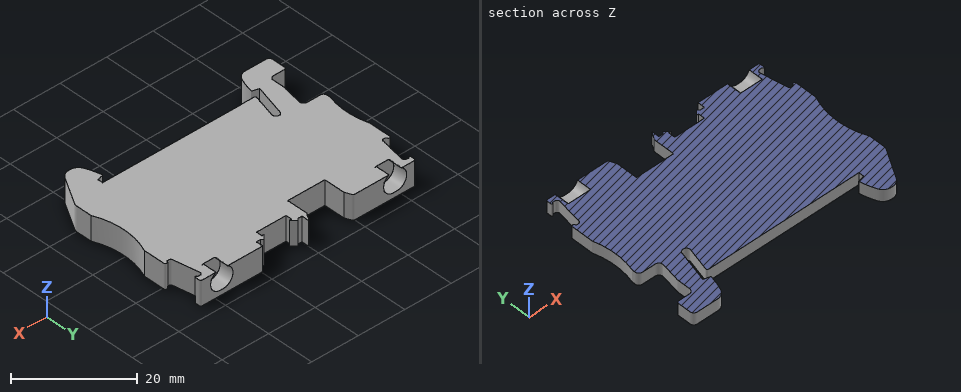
import cadquery as cq
import math

LENGTH = 48.6
HEIGHT = 35.25
THICKNESS = 5.15

LIP_INSET = 1.15
LIP_TIP_Y = 33.85
LIP_UNDERSIDE_Y = 34.1
LIP_BEAD = 0.4
LIP_BEAD_RADIUS = 0.15
LIP_ROOT_RADIUS = 0.1
LIP_TOP_RADIUS = 0.4
SHOULDER_Y = 28.25
SHOULDER_BEAD = 0.6
SHOULDER_RADIUS = 0.3
SHOULDER_SLOPE_RUN = 0.2
SHOULDER_GROOVE_RADIUS = 0.2
SHOULDER_GROOVE_Y = 27.8
NECK_BOTTOM_INSET = 1.58
NECK_BOTTOM_RADIUS = 0.4
NECK_TOP_INSET = 2.68
NECK_TOP_RADIUS = 0.5

POCKET_LEFT = 15.24
POCKET_RIGHT = 23.2
POCKET_FLOOR_Y = 29.3
POCKET_BEVEL_Y = 33.7
LEFT_BEVEL_RUN = 0.65
RIGHT_BEVEL_RUN = 0.92
POCKET_EDGE_RADIUS = 0.5
HORN_RADIUS = 0.1

SEAT_CENTER_X = 29.2
SEAT_OPENING_HALF = 4.9
SEAT_LEDGE_Y = 33.78
CATCH_PEAK_HALF = 3.65
CATCH_PEAK_Y = 34.2
CATCH_PEAK_RADIUS = 0.1
CATCH_BACK_RUN = 0.4
CATCH_TIP_HALF = 2.7
CATCH_TIP_Y = 33.2
SEAT_FLOOR_HALF = 3.17
SEAT_FLOOR_Y = 31.95

RAIL_FACE_Y = 5.98
RAIL_ANGLE = math.radians(15)
LATCH_TIP_X = 8.1
LATCH_BACK_X = 6.7
FIXED_TIP_X = 40.05
FIXED_BACK_X = 41.47
FOOT_TIP_Y = 4.58
FOOT_TIP_RADIUS = 0.1
FOOT_BEND_INSET = 0.42
FOOT_BEND_Y = 2.64
FOOT_BEND_RADIUS = 14.0
FOOT_TOE_INSET = 1.5
FOOT_TOE_RADIUS = 2.05
FLANK_TOP_Y = 7.35
FLANK_TOP_RADIUS = 2.0
FLANK_ANGLE = math.radians(60)

SLOT_WIDTH = 1.48
SLOT_LENGTH = 7.6
SLOT_MOUTH_RADIUS = 0.3
LEVER_TOP_Y = 3.98
LEVER_TOP_RADIUS = 0.5
LEVER_BOTTOM_RADIUS = 0.8
ARM_X = 3.63
ARM_BEND_Y = 7.5
ARM_BEND_RADIUS = 1.5
ARM_TOP_X = 4.6
ARM_FILLET = 0.85
BODY_BOTTOM_Y = 12.62
BODY_CORNER_RADIUS = 0.8

LEFT_SCALLOP = (14.1, 23.3, 0.68)
RIGHT_SCALLOP = (11.0, 23.4, 1.32)

CHANNELS = ((4.3, 2.65), (41.65, 2.5))
CHANNEL_LENGTH = 3.0
CHANNEL_RADIUS = 2.15
CHANNEL_LIP = 1.0

SHORTEST_LINE = 1e-6


def rounded_outline(corners):
    """Closed wire through (x, y, radius) corners, each rounded by a tangent arc."""
    wire = None
    end = None
    for i, (x, y, radius) in enumerate(corners):
        here = cq.Vector(x, y)
        to_previous = (cq.Vector(*corners[i - 1][:2]) - here).normalized()
        to_next = (cq.Vector(*corners[(i + 1) % len(corners)][:2]) - here).normalized()
        half_angle = to_previous.getAngle(to_next) / 2
        setback = radius / math.tan(half_angle)
        start = here + to_previous * setback
        if wire is None:
            wire = cq.Workplane("XY").moveTo(start.x, start.y)
        elif (start - end).Length > SHORTEST_LINE:
            wire = wire.lineTo(start.x, start.y)
        end = here + to_next * setback
        if radius > 0:
            bisector = (to_previous + to_next).normalized()
            middle = here + bisector * (radius / math.sin(half_angle) - radius)
            wire = wire.threePointArc((middle.x, middle.y), (end.x, end.y))
    return wire.close()


def mirrored(corners, axis_x):
    """The corners reflected about x = axis_x, in reverse order to keep the travel direction."""
    return [(2 * axis_x - x, y, radius) for x, y, radius in reversed(corners)]


def left_end_hook():
    """From the side face up around the shoulder bead, the neck and the lip."""
    return [
        (0, SHOULDER_Y, SHOULDER_RADIUS),
        (SHOULDER_BEAD, SHOULDER_Y, SHOULDER_RADIUS / 2),
        (SHOULDER_BEAD + SHOULDER_SLOPE_RUN, SHOULDER_GROOVE_Y, SHOULDER_GROOVE_RADIUS),
        (NECK_BOTTOM_INSET, SHOULDER_GROOVE_Y, NECK_BOTTOM_RADIUS),
        (NECK_TOP_INSET, LIP_UNDERSIDE_Y, NECK_TOP_RADIUS),
        (LIP_INSET + LIP_BEAD, LIP_UNDERSIDE_Y, LIP_ROOT_RADIUS),
        (LIP_INSET + LIP_BEAD, LIP_TIP_Y, LIP_BEAD_RADIUS),
        (LIP_INSET, LIP_TIP_Y, LIP_BEAD_RADIUS),
        (LIP_INSET, HEIGHT, LIP_TOP_RADIUS),
    ]


def pocket():
    """Upper pocket with bevelled mouth, from left to right, ending at the horn's tip."""
    return [
        (POCKET_LEFT - LEFT_BEVEL_RUN, HEIGHT, POCKET_EDGE_RADIUS),
        (POCKET_LEFT, POCKET_BEVEL_Y, 0),
        (POCKET_LEFT, POCKET_FLOOR_Y, 0),
        (POCKET_RIGHT, POCKET_FLOOR_Y, 0),
        (POCKET_RIGHT, POCKET_BEVEL_Y, 0),
        (POCKET_RIGHT + RIGHT_BEVEL_RUN, HEIGHT, HORN_RADIUS),
    ]


def marker_seat():
    """Left half of the seat from its opening down to the floor, then its mirror image."""
    left_half = [
        (SEAT_CENTER_X - SEAT_OPENING_HALF, HEIGHT, 0),
        (SEAT_CENTER_X - SEAT_OPENING_HALF, SEAT_LEDGE_Y, 0),
        (SEAT_CENTER_X - CATCH_PEAK_HALF - CATCH_BACK_RUN, SEAT_LEDGE_Y, 0),
        (SEAT_CENTER_X - CATCH_PEAK_HALF, CATCH_PEAK_Y, CATCH_PEAK_RADIUS),
        (SEAT_CENTER_X - CATCH_TIP_HALF, CATCH_TIP_Y, 0),
        (SEAT_CENTER_X - SEAT_FLOOR_HALF, CATCH_TIP_Y, 0),
        (SEAT_CENTER_X - SEAT_FLOOR_HALF, SEAT_FLOOR_Y, 0),
    ]
    return left_half + mirrored(left_half, SEAT_CENTER_X)


def foot_hook(tip_x, back_x):
    """Rail hook from its root at back_x, over the pointed tip, round to the toe."""
    inward = math.copysign(1, back_x - tip_x)
    root_y = FOOT_TIP_Y + abs(back_x - tip_x) * math.tan(RAIL_ANGLE)
    return [
        (back_x, root_y, 0),
        (tip_x, FOOT_TIP_Y, FOOT_TIP_RADIUS),
        (tip_x + inward * FOOT_BEND_INSET, FOOT_BEND_Y, FOOT_BEND_RADIUS),
        (tip_x + inward * FOOT_TOE_INSET, 0, FOOT_TOE_RADIUS),
    ]


def fixed_foot():
    """Right foot, from the sloping flank round to the rail face."""
    flank_bottom_x = LENGTH - FLANK_TOP_Y / math.tan(FLANK_ANGLE)
    return [
        (LENGTH, FLANK_TOP_Y, FLANK_TOP_RADIUS),
        (flank_bottom_x, 0, FOOT_TOE_RADIUS),
        *reversed(foot_hook(FIXED_TIP_X, FIXED_BACK_X)),
        (FIXED_BACK_X, RAIL_FACE_Y, 0),
    ]


def release_slot():
    """Sloping round-ended slot from the rail face up its blind end and down to the latch root."""
    root_y = FOOT_TIP_Y + (LATCH_TIP_X - LATCH_BACK_X) * math.tan(RAIL_ANGLE)
    left_top_x = LATCH_BACK_X + SLOT_LENGTH * math.sin(RAIL_ANGLE)
    left_top_y = root_y + SLOT_LENGTH * math.cos(RAIL_ANGLE)
    right_top_x = left_top_x + SLOT_WIDTH * math.cos(RAIL_ANGLE)
    right_top_y = left_top_y - SLOT_WIDTH * math.sin(RAIL_ANGLE)
    mouth_x = right_top_x - (right_top_y - RAIL_FACE_Y) * math.tan(RAIL_ANGLE)
    return [
        (mouth_x, RAIL_FACE_Y, SLOT_MOUTH_RADIUS),
        (right_top_x, right_top_y, SLOT_WIDTH / 2),
        (left_top_x, left_top_y, SLOT_WIDTH / 2),
    ]


def lever_and_arm():
    """Left side of the latch: lever block, bent arm and the lower left corner of the body."""
    return [
        (0, 0, LEVER_BOTTOM_RADIUS),
        (0, LEVER_TOP_Y, LEVER_TOP_RADIUS),
        (ARM_X, LEVER_TOP_Y, ARM_FILLET),
        (ARM_X, ARM_BEND_Y, ARM_BEND_RADIUS),
        (ARM_TOP_X, BODY_BOTTOM_Y, ARM_FILLET),
        (0, BODY_BOTTOM_Y, BODY_CORNER_RADIUS),
    ]


def housing():
    """The full outline, clockwise from the left shoulder, extruded to the part's thickness."""
    left_hook = left_end_hook()
    corners = [
        *left_hook,
        *pocket(),
        *marker_seat(),
        *mirrored(left_hook, LENGTH / 2),
        *fixed_foot(),
        *release_slot(),
        *foot_hook(LATCH_TIP_X, LATCH_BACK_X),
        *lever_and_arm(),
    ]
    return rounded_outline(corners).extrude(THICKNESS)


def scallop(face_x, low_y, high_y, depth):
    """Cylinder that cuts an arc of the given depth into the end at face_x."""
    half_chord = (high_y - low_y) / 2
    radius = (half_chord**2 + depth**2) / (2 * depth)
    outward = math.copysign(1, face_x - LENGTH / 2)
    center_x = face_x + outward * (radius - depth)
    return cq.Workplane("XY").center(center_x, low_y + half_chord).circle(radius).extrude(THICKNESS)


def channel(opening_left_x, opening_width):
    """Channel along Y with a flat floor between two arcs that pass their widest and close in at the top."""
    center_height = math.sqrt(CHANNEL_RADIUS**2 - CHANNEL_LIP**2)
    center_z = THICKNESS - center_height
    floor_z = center_z - CHANNEL_RADIUS
    opening_right_x = opening_left_x + opening_width
    floor_left_x = opening_left_x + CHANNEL_LIP
    floor_right_x = opening_right_x - CHANNEL_LIP
    return (
        cq.Workplane("XZ", origin=(0, HEIGHT, 0))
        .moveTo(opening_left_x, THICKNESS)
        .threePointArc((floor_left_x - CHANNEL_RADIUS, center_z), (floor_left_x, floor_z))
        .lineTo(floor_right_x, floor_z)
        .threePointArc((floor_right_x + CHANNEL_RADIUS, center_z), (opening_right_x, THICKNESS))
        .close()
        .extrude(CHANNEL_LENGTH)
    )


result = housing()
result = result.cut(scallop(0, *LEFT_SCALLOP))
result = result.cut(scallop(LENGTH, *RIGHT_SCALLOP))
for left_x, width in CHANNELS:
    result = result.cut(channel(left_x, width))